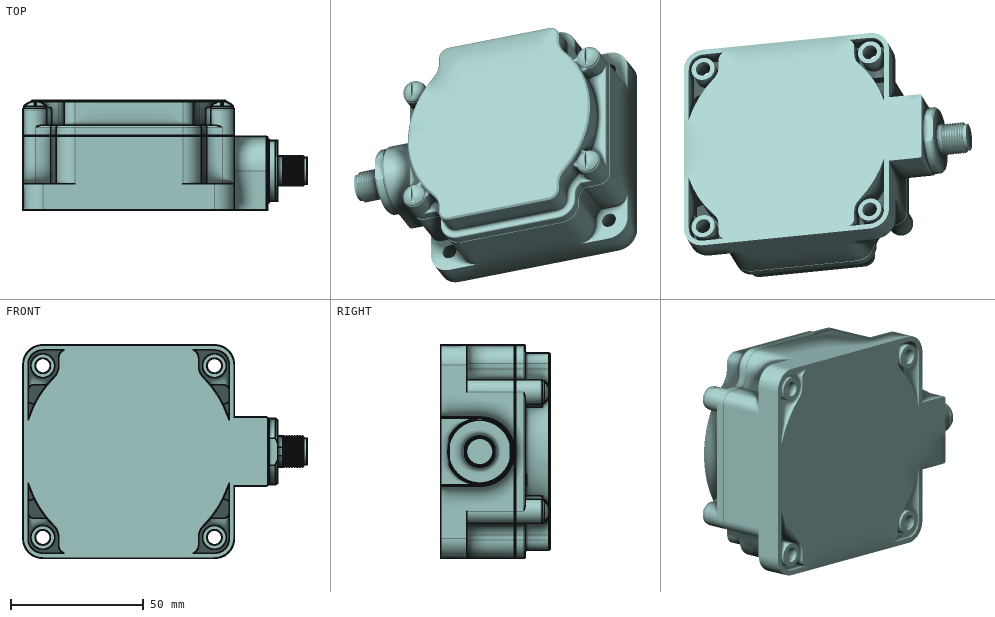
import cadquery as cq
import math


TOTAL_LENGTH = 107.6
BODY_X = 80.0
BODY_Z = 80.8
HALF_X = BODY_X / 2
HALF_Z = BODY_Z / 2
TOTAL_DEPTH = 41.6
FLANGE_DEPTH = 10.0
FLANGE_CORNER_R = 7.5
COVER_TOP_Y = 32.1
COVER_FILLET = 0.6
RIM_TOLERANCE = 0.1

HOLE_OFFSET = 32.5
HOLE_R = 2.8
HOLE_BOSS_R = 4.5

LOBE_FLAT_HALF = 20.4
LOBE_CORNER_R = 7.0
LOBE_HALF = LOBE_FLAT_HALF + LOBE_CORNER_R
NOTCH_R = 5.0
NOTCH_CENTRE_X = LOBE_HALF + NOTCH_R
NOTCH_CENTRE_Z = 31.4
NOTCH_DISTANCE = math.hypot(NOTCH_CENTRE_X, NOTCH_CENTRE_Z)
SHOULDER_Z = 27.2
POST_R = 4.6

SEAM_Y = 27.9
SEAM_WIDTH = 0.5
COVER_START_Y = SEAM_Y + SEAM_WIDTH
SEAM_DEPTH = 0.16

PLATEAU_INSET = 3.0
PLATEAU_HALF_Z = HALF_Z - PLATEAU_INSET
PLATEAU_EDGE = 0.6

POST_X = HALF_X - POST_R
POST_Z = SHOULDER_Z - POST_R
POST_TOP_Y = 38.7
POST_EDGE = 0.8
POST_WEB_WIDTH = 7.3
POST_WEB_LENGTH = 8.6
HEAD_R = 4.3
HEAD_RIM_Y = 39.3
HEAD_TOP_Y = 41.2
SCREW_SLOT_WIDTH = 0.9
SCREW_SLOT_FLOOR_Y = 39.9

WALL = 1.9
POCKET_CLEARANCE_R = 6.0
POCKET_CIRCLE_R = HOLE_OFFSET * math.sqrt(2) - POCKET_CLEARANCE_R
POCKET_FLARE_R = 3.2
POCKET_FLARE_DX = 1.9
POCKET_DEPTH = 8.1
CAVITY_Z = SHOULDER_Z - WALL
CAVITY_CORNER_R = 2.2
CAVITY_DEPTH = 25.8
POST_FRONT_Y = 12.9

AXIS_Y = 14.8
HOUSING_HALF = 13.1
HOUSING_END_X = 52.7
HOUSING_CHAMFER = 0.5
NECK_R = 12.0
NUT_START_X = 53.1
NUT_END_X = 56.4
NUT_R = 12.6
NUT_FLAT = 11.5
NUT_CHAMFER_R = 0.6
NUT_CHAMFER_X = 0.9
PLUG_R = 5.9
PLUG_FLAT = 5.7
THREAD_START_X = 58.3
THREAD_PITCH = 1.0
THREAD_TURNS = 8
THREAD_ROOT_R = 5.4
TIP_R = 5.1
TIP_END_X = TOTAL_LENGTH - HALF_X

CORNERS = [(sx, sz) for sx in (-1, 1) for sz in (-1, 1)]


def plane_at(y):
    """Workplane parallel to XZ at the given Y; its local axes are X and Z."""
    return cq.Workplane("XZ", origin=(0, y, 0))


def cross_plane_at(x):
    """Workplane across the connector axis at the given X; its local axes are Y and Z."""
    return cq.Workplane("YZ", origin=(x, AXIS_Y, 0))


def mirrored(quarter):
    """Join a quarter solid with its mirror images in X and Z."""
    half = quarter.union(quarter.mirror("YZ"))
    return half.union(half.mirror("XY"))


def on_circle(centre, radius, angle):
    """Point on a circle at an angle in radians."""
    return (centre[0] + radius * math.cos(angle), centre[1] + radius * math.sin(angle))


def mid_of_arc(centre, start, end):
    """Middle point of the shorter arc between two points on a circle."""
    angle_1 = math.atan2(start[1] - centre[1], start[0] - centre[0])
    angle_2 = math.atan2(end[1] - centre[1], end[0] - centre[0])
    turn = (angle_2 - angle_1 + math.pi) % (2 * math.pi) - math.pi
    return on_circle(centre, math.dist(centre, start), angle_1 + turn / 2)


def arc(path, centre, start, end):
    """Extend the path, now at start, by the shorter arc about centre to end."""
    return path.threePointArc(mid_of_arc(centre, start, end), end)


def make_body(start_y, end_y):
    """Notched body between two Y levels; each notch runs out on a circle about the body axis."""
    lobe_centre = (LOBE_FLAT_HALF, HALF_Z - LOBE_CORNER_R)
    lobe_start = (LOBE_FLAT_HALF, HALF_Z)
    lobe_end = (LOBE_HALF, lobe_centre[1])
    notch_centre = (NOTCH_CENTRE_X, NOTCH_CENTRE_Z)
    notch_start = (LOBE_HALF, NOTCH_CENTRE_Z)
    round_r = NOTCH_DISTANCE - NOTCH_R
    notch_end = on_circle((0, 0), round_r, math.atan2(NOTCH_CENTRE_Z, NOTCH_CENTRE_X))
    round_end = (math.sqrt(round_r**2 - SHOULDER_Z**2), SHOULDER_Z)
    post_start = (POST_X, SHOULDER_Z)
    post_end = (HALF_X, POST_Z)

    path = plane_at(start_y).lineTo(0, HALF_Z).lineTo(*lobe_start)
    path = arc(path, lobe_centre, lobe_start, lobe_end).lineTo(*notch_start)
    path = arc(path, notch_centre, notch_start, notch_end)
    path = arc(path, (0, 0), notch_end, round_end).lineTo(*post_start)
    path = arc(path, (POST_X, POST_Z), post_start, post_end)
    quarter = path.lineTo(HALF_X, 0).close().extrude(start_y - end_y)
    return mirrored(quarter)


def make_plateau():
    """Round plateau with lobes that follow the body outline at a constant inset."""
    corner_r = LOBE_CORNER_R - PLATEAU_INSET
    notch_r = NOTCH_R + PLATEAU_INSET
    lobe_centre = (LOBE_FLAT_HALF, HALF_Z - LOBE_CORNER_R)
    lobe_start = (LOBE_FLAT_HALF, PLATEAU_HALF_Z)
    lobe_end = (LOBE_FLAT_HALF + corner_r, lobe_centre[1])
    notch_centre = (NOTCH_CENTRE_X, NOTCH_CENTRE_Z)
    notch_start = (NOTCH_CENTRE_X - notch_r, NOTCH_CENTRE_Z)
    round_r = NOTCH_DISTANCE - notch_r
    notch_end = on_circle((0, 0), round_r, math.atan2(NOTCH_CENTRE_Z, NOTCH_CENTRE_X))

    path = plane_at(COVER_TOP_Y).lineTo(0, PLATEAU_HALF_Z).lineTo(*lobe_start)
    path = arc(path, lobe_centre, lobe_start, lobe_end).lineTo(*notch_start)
    path = arc(path, notch_centre, notch_start, notch_end)
    path = arc(path, (0, 0), notch_end, (round_r, 0))
    quarter = path.close().extrude(COVER_TOP_Y - TOTAL_DEPTH)
    return mirrored(quarter).faces(">Y").chamfer(PLATEAU_EDGE)


def make_cover():
    """Cover and plateau, with rounded rim and rounded plateau base."""
    cover = make_body(COVER_START_Y, COVER_TOP_Y).union(make_plateau())
    rim = cq.selectors.BoxSelector(
        (-HALF_X, COVER_TOP_Y - RIM_TOLERANCE, -HALF_Z), (HALF_X, COVER_TOP_Y + RIM_TOLERANCE, HALF_Z)
    )
    return cover.edges(rim).fillet(COVER_FILLET)


def make_seam():
    """Slightly recessed layer between housing and cover."""
    outline = make_body(SEAM_Y, COVER_START_Y).faces("<Y").wires().toPending()
    return outline.offset2D(-SEAM_DEPTH).extrude(-SEAM_WIDTH, combine=False)


def make_screw_post():
    """Cover post with a web to the plateau, at the +X +Z corner."""
    height = POST_TOP_Y - COVER_START_Y
    towards_axis = math.degrees(math.atan2(-POST_Z, -POST_X))
    base = plane_at(COVER_START_Y).center(POST_X, POST_Z)
    web = base.transformed(rotate=(0, 0, towards_axis))
    web = web.rect(POST_WEB_LENGTH, POST_WEB_WIDTH, centered=(False, True)).extrude(-height)
    post = base.circle(POST_R).extrude(-height).union(web)
    return post.faces(">Y").edges().fillet(POST_EDGE)


def make_screw_head():
    """Domed, slotted screw head on the Y axis."""
    base_y = POST_TOP_Y - POST_EDGE
    rise = HEAD_TOP_Y - HEAD_RIM_Y
    dome_r = (HEAD_R**2 + rise**2) / (2 * rise)
    dome_centre = (0, HEAD_TOP_Y - dome_r)
    rim = (HEAD_R, HEAD_RIM_Y)
    top = (0, HEAD_TOP_Y)
    path = cq.Workplane("XY").moveTo(0, base_y).lineTo(HEAD_R, base_y).lineTo(*rim)
    head = arc(path, dome_centre, rim, top).close().revolve(360, (0, 0), (0, 1))
    slot = plane_at(SCREW_SLOT_FLOOR_Y).rect(SCREW_SLOT_WIDTH, 2 * HEAD_R)
    return head.cut(slot.extrude(SCREW_SLOT_FLOOR_Y - TOTAL_DEPTH))


def make_pocket():
    """Corner pocket of the flange with its deeper cavity, at the +X +Z corner."""
    side_x = HALF_X - WALL
    top_z = HALF_Z - WALL
    corner_r = FLANGE_CORNER_R - WALL
    hole = (HOLE_OFFSET, HOLE_OFFSET)
    low_point = (side_x, math.sqrt(POCKET_CIRCLE_R**2 - side_x**2))
    touch_point = on_circle((0, 0), POCKET_CIRCLE_R, math.pi / 4)
    straight_x = HOLE_OFFSET - POCKET_CLEARANCE_R
    flare_centre_x = straight_x - POCKET_FLARE_R
    flare_end = (straight_x - POCKET_FLARE_DX, top_z)
    flare_rise = math.sqrt(POCKET_FLARE_R**2 - (flare_end[0] - flare_centre_x) ** 2)
    flare_start = (straight_x, top_z - flare_rise)
    corner_start = (side_x - corner_r, top_z)
    corner_end = (side_x, top_z - corner_r)

    path = arc(plane_at(0).moveTo(*low_point), (0, 0), low_point, touch_point)
    path = arc(path, hole, touch_point, (straight_x, HOLE_OFFSET)).lineTo(*flare_start)
    path = arc(path, (flare_centre_x, flare_start[1]), flare_start, flare_end).lineTo(*corner_start)
    path = arc(path, (corner_start[0], corner_end[1]), corner_start, corner_end)
    full_depth = path.close().extrude(-CAVITY_DEPTH)

    shallow = plane_at(0).rect(BODY_X, BODY_Z).extrude(-POCKET_DEPTH)
    cavity = plane_at(0).rect(2 * side_x, 2 * CAVITY_Z).extrude(-CAVITY_DEPTH)
    cavity = cavity.edges("|Y").fillet(CAVITY_CORNER_R)
    post = plane_at(POST_FRONT_Y).center(POST_X, POST_Z).circle(POST_R).extrude(-CAVITY_DEPTH)
    boss = plane_at(0).center(*hole).circle(HOLE_BOSS_R).extrude(-POCKET_DEPTH)
    return full_depth.intersect(shallow.union(cavity)).cut(post).cut(boss)


def make_connector_housing():
    """Block that carries the connector, rounded on its +Y side about the connector axis."""
    housing = cross_plane_at(0).moveTo(-AXIS_Y, -HOUSING_HALF).lineTo(0, -HOUSING_HALF)
    housing = housing.threePointArc((HOUSING_HALF, 0), (0, HOUSING_HALF))
    housing = housing.lineTo(-AXIS_Y, HOUSING_HALF).close().extrude(HOUSING_END_X)
    return housing.faces(">X").edges("not <Y").chamfer(HOUSING_CHAMFER)


def flattened(start_x, end_x, radius, flat):
    """Cylinder along the connector axis with two flats facing +Y and -Y."""
    length = end_x - start_x
    slab = cross_plane_at(start_x).rect(2 * flat, 2 * radius).extrude(length)
    return cross_plane_at(start_x).circle(radius).extrude(length).intersect(slab)


def make_nut():
    """Chamfered nut with two flats, on a short neck."""
    disc = cross_plane_at(NUT_START_X).circle(NUT_R).extrude(NUT_END_X - NUT_START_X)
    disc = disc.faces(">X").chamfer(NUT_CHAMFER_X, NUT_CHAMFER_R)
    neck = cross_plane_at(HOUSING_END_X).circle(NECK_R).extrude(NUT_START_X - HOUSING_END_X)
    return flattened(NUT_START_X, NUT_END_X, NUT_R, NUT_FLAT).intersect(disc).union(neck)


def make_plug():
    """Flattened stub, ring-shaped thread ridges and a plain tip."""
    thread_end_x = THREAD_START_X + THREAD_TURNS * THREAD_PITCH
    points = [(THREAD_START_X, 0), (THREAD_START_X, THREAD_ROOT_R)]
    for turn in range(THREAD_TURNS):
        ridge_start_x = THREAD_START_X + turn * THREAD_PITCH
        points.append((ridge_start_x + THREAD_PITCH / 2, PLUG_R))
        points.append((ridge_start_x + THREAD_PITCH, THREAD_ROOT_R))
    points += [(thread_end_x, TIP_R), (TIP_END_X, TIP_R), (TIP_END_X, 0)]
    thread = cq.Workplane("XY", origin=(0, AXIS_Y, 0)).polyline(points).close()
    thread = thread.revolve(360, (0, 0), (1, 0))
    envelope = flattened(THREAD_START_X, TIP_END_X, PLUG_R, PLUG_FLAT)
    stub = flattened(NUT_END_X, THREAD_START_X, PLUG_R, PLUG_FLAT)
    return stub.union(thread.intersect(envelope))


flange = plane_at(0).rect(BODY_X, BODY_Z).extrude(-FLANGE_DEPTH)
flange = flange.edges("|Y").fillet(FLANGE_CORNER_R)

result = flange.union(make_body(FLANGE_DEPTH, SEAM_Y)).union(make_seam()).union(make_cover())
result = result.union(mirrored(make_screw_post()))
for side_x, side_z in CORNERS:
    result = result.union(make_screw_head().translate((side_x * POST_X, 0, side_z * POST_Z)))
result = result.union(make_connector_housing()).union(make_nut()).union(make_plug())

result = result.cut(mirrored(make_pocket()))
holes = plane_at(0).rect(2 * HOLE_OFFSET, 2 * HOLE_OFFSET, forConstruction=True).vertices()
result = result.cut(holes.circle(HOLE_R).extrude(-FLANGE_DEPTH))